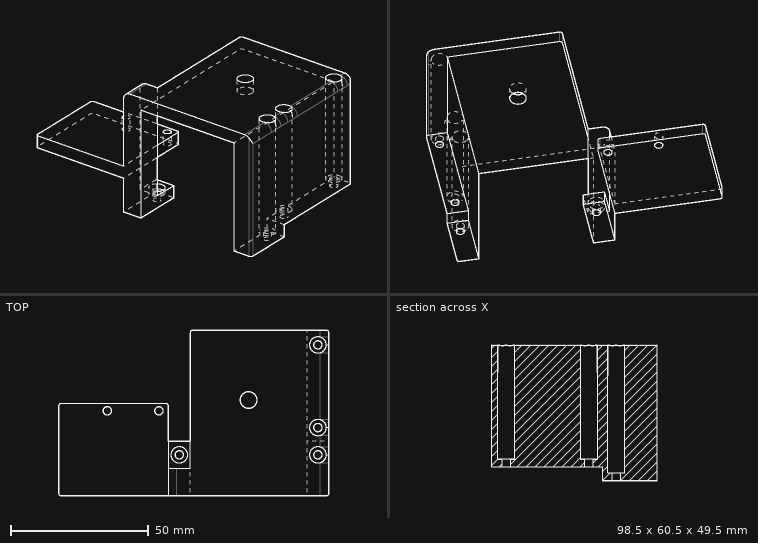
import cadquery as cq
import math

length = 98.5
depth = 60.5
height = 49.5

wall = 8.0
plate = 5.0
leg_x = 40.0
leg_depth = 10.0
foot_depth = 20.0
roof_x = leg_x + wall
wall_x = length - wall
left_round = 3.0
right_round = 3.2
corner_round = 1.0

tray_depth = 33.8
tray_z = 13.9
tray_hole_xs = (17.7, 36.5)
tray_hole_y = 31.0

hole_d = 3.0
head_d = 6.0
head_floor = 3.0
roof_hole = (69.2, 35.0)
foot_screw_y = 15.0
rear_screw_ys = (24.9, 55.1)
screw_ys = (foot_screw_y,) + rear_screw_ys
left_screw_x = leg_x + wall / 2
right_screw_x = length - wall / 2


def block(x0, x1, y0, y1, z0, z1):
    """Box between two opposite corners."""
    return cq.Workplane("XY").box(x1 - x0, y1 - y0, z1 - z0, centered=False).translate((x0, y0, z0))


def upright_hole(x, y, diameter, z0, z1):
    """Cylinder cutter with an upright axis."""
    return cq.Workplane("XY", origin=(x, y, z0)).circle(diameter / 2).extrude(z1 - z0)


def corner_wire(y, width):
    """Section, at depth y, of the material removed from the top right edge.

    A quarter ellipse: the given width across the top, always right_round down the side.
    """
    return (
        cq.Workplane("XZ", origin=(0, y, 0))
        .moveTo(length, height - right_round)
        .ellipseArc(width, right_round, 0, 90, startAtCurrent=True)
        .lineTo(length, height)
        .close()
        .wires()
        .val()
    )


def edge_cutter(y0, width0, y1, width1):
    """Cutter rounding the top right edge, with its width changing evenly along Y."""
    return cq.Solid.makeLoft([corner_wire(y0, width0), corner_wire(y1, width1)], True)


def make_tray():
    tray = block(0, leg_x, 0, tray_depth, tray_z, tray_z + plate).edges("|Z").fillet(corner_round)
    root = block(leg_x - corner_round, leg_x + wall, 0, leg_depth, tray_z, tray_z + plate)
    tray = tray.union(root)
    for x in tray_hole_xs:
        tray = tray.cut(upright_hole(x, tray_hole_y, hole_d, tray_z, tray_z + plate))
    return tray


def make_bridge():
    leg = block(leg_x, roof_x, 0, leg_depth, 0, height)
    arch_top = block(leg_x, length, 0, leg_depth, height - plate, height)
    arch = leg.union(arch_top).edges("|Y and <X and >Z").fillet(left_round)
    roof = block(roof_x, length, 0, depth, height - plate, height)
    roof = roof.edges("|Z and <X and >Y").fillet(corner_round)
    right_wall = block(wall_x, length, 0, depth, plate, height)
    bridge = arch.union(roof).union(right_wall)
    for x in (leg_x, wall_x):
        bridge = bridge.union(block(x, x + wall, 0, foot_depth, 0, plate))
    return bridge.edges("|Z and >X and (<Y or >Y)").fillet(corner_round)


def round_right_edge(body):
    """Round the top right edge, narrowing the round beside each counterbore."""
    head_r = head_d / 2
    rim_width = wall / 2 - head_r
    half_width = math.sqrt(head_r**2 - (wall / 2 - right_round) ** 2)
    start = 0
    for y in screw_ys:
        body = body.cut(edge_cutter(start, right_round, y - half_width, right_round))
        body = body.cut(edge_cutter(y - half_width, right_round, y, rim_width))
        body = body.cut(edge_cutter(y, rim_width, y + half_width, right_round))
        start = y + half_width
    return body.cut(edge_cutter(start, right_round, depth, right_round))


def cut_screw(body, x, y, bottom):
    """Counterbored screw hole whose head drops in from above."""
    body = body.cut(upright_hole(x, y, hole_d, bottom, height))
    return body.cut(upright_hole(x, y, head_d, bottom + head_floor, height))


bracket = round_right_edge(make_bridge())
bracket = cut_screw(bracket, left_screw_x, foot_screw_y, 0)
bracket = cut_screw(bracket, right_screw_x, foot_screw_y, 0)
for rear_y in rear_screw_ys:
    bracket = cut_screw(bracket, right_screw_x, rear_y, plate)
bracket = bracket.cut(upright_hole(*roof_hole, head_d, height - plate, height))

result = bracket.union(make_tray())